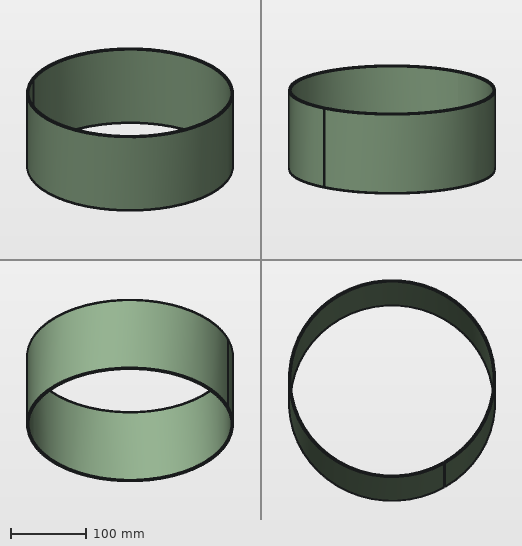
import cadquery as cq

outer_diameter = 275.0
height = 110.0
wall = 2.58
chamfer_height = 1.6
chamfer_depth = 0.5
split_width = 2.2

outer_radius = outer_diameter / 2
inner_radius = outer_radius - wall


def make_band():
    """Thin cylindrical band with steep chamfers inside and outside both rims."""
    profile = (
        cq.Workplane("XZ")
        .moveTo(inner_radius + chamfer_depth, 0)
        .lineTo(outer_radius - chamfer_depth, 0)
        .lineTo(outer_radius, chamfer_height)
        .lineTo(outer_radius, height - chamfer_height)
        .lineTo(outer_radius - chamfer_depth, height)
        .lineTo(inner_radius + chamfer_depth, height)
        .lineTo(inner_radius, height - chamfer_height)
        .lineTo(inner_radius, chamfer_height)
        .close()
    )
    return profile.revolve(360, (0, 0, 0), (0, 1, 0))


def make_split():
    """Full-height slot through the wall on the -X side, with one face on the XZ plane."""
    slot = cq.Workplane("XY").box(outer_radius, split_width, height, centered=False)
    return slot.translate((-outer_radius, 0, 0))


result = make_band().cut(make_split())